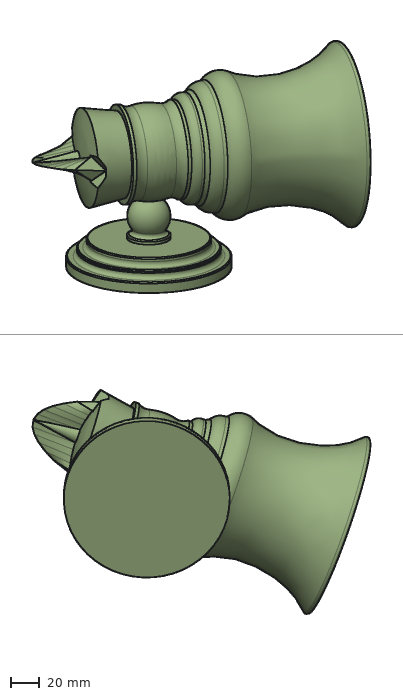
import cadquery as cq
import math


axis_height = 83.5
rim_y = 141.7
tip_y = -83.5
rim_radius = 64.9
rim_rounding = 1.5
rim_taper = 0.7
rim_edge_y = rim_y - 2 * rim_rounding

foot_radius = 57.5
foot_edge_break = 1.0
foot_rim_height = 7.9
middle_step_radius = 50.0
middle_step_height = 14.2
top_step_radius = 43.2
foot_height = 21.0
cove_sag = 1.0
collar_radius = 15.3
collar_top = 23.0
ball_radius = 15.0
ball_height = 37.0
neck_radius = 12.0
neck_height = ball_height - math.sqrt(ball_radius**2 - neck_radius**2)

grip_radius = 34.5
waist_radius = 33.1
waist_y = 10.4
hollow_radius = 33.3
hollow_y = 15.3
bead_radius = 35.0
bead_inner_y = 18.5
bead_outer_y = 21.0

nose_root_radius = 30.6
nose_radius = 35.0
nose_y = -46.0
dome_y = -51.1
dome_middle_y = nose_y + 0.75 * (dome_y - nose_y)

tongue_half_width = 23.2
tongue_root_y = -48.0
tongue_half_height = 9.0
tongue_curvature = 0.04439
tongue_inner_x = 0.5
tongue_section_count = 6
spike_radius = 5.9

notch_apex_x = 30.5
notch_apex_y = -39.2
notch_mouth_x = 33.8
notch_mouth_half_height = 11.7


def revolved_foot():
    """Moulded foot, collar and ball, turned about Z."""
    cove_bottom_radius = 52.5
    upper_cove_radius = 46.0
    middle_cove_top = 12.2
    upper_cove_top = 18.5
    collar_lip_radius = 14.0
    collar_lip_height = 23.9

    def cove_middle(start, end):
        """Point of a concave arc, set in from the chord towards the axis and foot."""
        return ((start[0] + end[0]) / 2 - cove_sag, (start[1] + end[1]) / 2 - cove_sag)

    lower_start = (cove_bottom_radius, foot_rim_height)
    lower_end = (middle_step_radius, middle_cove_top)
    upper_start = (upper_cove_radius, middle_step_height)
    upper_end = (top_step_radius, upper_cove_top)
    lip = (collar_lip_radius, collar_lip_height)
    neck = (neck_radius, neck_height)
    profile = (
        cq.Workplane("XZ")
        .moveTo(0, 0)
        .lineTo(foot_radius, 0)
        .lineTo(foot_radius, foot_rim_height - foot_edge_break)
        .lineTo(foot_radius - foot_edge_break, foot_rim_height)
        .lineTo(*lower_start)
        .threePointArc(cove_middle(lower_start, lower_end), lower_end)
        .lineTo(middle_step_radius, middle_step_height - foot_edge_break)
        .lineTo(middle_step_radius - foot_edge_break, middle_step_height)
        .lineTo(*upper_start)
        .threePointArc(cove_middle(upper_start, upper_end), upper_end)
        .lineTo(top_step_radius, foot_height - foot_edge_break)
        .lineTo(top_step_radius - foot_edge_break, foot_height)
        .lineTo(collar_radius, foot_height)
        .lineTo(collar_radius, collar_top)
        .lineTo(*lip)
        .threePointArc(cove_middle(lip, neck), neck)
        .threePointArc((ball_radius, ball_height), (0, ball_height + ball_radius))
        .close()
    )
    return profile.revolve(360, (0, 0, 0), (0, 1, 0))


def revolved_horn():
    """Bell, stepped mouldings, grip and domed nose, turned about Y at Z = 0."""
    profile = (
        cq.Workplane("XY")
        .moveTo(0, rim_y)
        .lineTo(rim_radius - rim_rounding, rim_y)
        .threePointArc((rim_radius, rim_y - rim_rounding), (rim_radius - rim_taper, rim_edge_y))
        .spline([(56.3, 128.8), (47.3, 106.3), (45.3, 82.5), (51.4, 59.2)], includeCurrent=True)
        .threePointArc((51.8, 51.4), (46.5, 43.7))
        .lineTo(46.0, 41.0)
        .threePointArc((44.4, 36.3), (40.5, 32.7))
        .lineTo(39.2, 29.3)
        .lineTo(39.2, 27.3)
        .threePointArc((38.0, 23.5), (bead_radius, bead_outer_y))
        .lineTo(bead_radius, bead_inner_y)
        .threePointArc((hollow_radius, hollow_y), (waist_radius, waist_y))
        .threePointArc((grip_radius, 0), (waist_radius, -waist_y))
        .threePointArc((hollow_radius, -hollow_y), (bead_radius, -bead_inner_y))
        .lineTo(bead_radius, -bead_outer_y)
        .lineTo(nose_root_radius, -bead_outer_y)
        .lineTo(nose_radius, nose_y)
        .threePointArc((nose_radius / 2, dome_middle_y), (0, dome_y))
        .close()
    )
    return profile.revolve(360, (0, 0, 0), (0, 1, 0))


def pyramid(apex, base):
    """Solid from an apex and a flat polygon base."""
    faces = [cq.Face.makeFromWires(cq.Wire.makePolygon(base, close=True))]
    for start, end in zip(base, base[1:] + base[:1]):
        faces.append(cq.Face.makeFromWires(cq.Wire.makePolygon([apex, start, end], close=True)))
    return cq.Workplane(obj=cq.Solid.makeSolid(cq.Shell.makeShell(faces)))


notch_apex = cq.Vector(notch_apex_x, notch_apex_y, 0)


def notch():
    """Side notch on +X: a pyramid opening outwards from its apex."""
    inner = cq.Vector(tongue_half_width, tongue_root_y, tongue_half_height)
    mouth = cq.Vector(notch_mouth_x, nose_y, notch_mouth_half_height)
    outer = mouth + (mouth - inner)
    inner_far = inner * 2 - notch_apex
    outer_far = outer * 2 - notch_apex
    base = [
        inner_far,
        outer_far,
        cq.Vector(outer_far.x, outer_far.y, -outer_far.z),
        cq.Vector(inner_far.x, inner_far.y, -inner_far.z),
    ]
    return pyramid(notch_apex, base)


def tongue_section(x):
    """Triangle across the blade at x, pointing at the parabolic edge."""
    half_height = tongue_half_height * x / tongue_half_width
    return [
        cq.Vector(x, tongue_root_y, half_height),
        cq.Vector(x, tip_y + tongue_curvature * x**2, 0),
        cq.Vector(x, tongue_root_y, -half_height),
    ]


def tongue_half():
    """Half of the blade on +X, closed at its side by a pyramid into the notch."""
    step = (tongue_half_width - tongue_inner_x) / (tongue_section_count - 1)
    wires = []
    for index in range(tongue_section_count):
        section = tongue_section(tongue_inner_x + index * step)
        wires.append(cq.Wire.makePolygon(section, close=True))
    blade = cq.Workplane(obj=cq.Solid.makeLoft(wires, True))
    return blade.union(pyramid(notch_apex, tongue_section(tongue_half_width)))


def spike():
    """Central cone of the tongue, rooted inside the dome."""
    length = tongue_root_y - tip_y
    return cq.Workplane(
        obj=cq.Solid.makeCone(
            spike_radius, 0, length, cq.Vector(0, tongue_root_y, 0), cq.Vector(0, -1, 0)
        )
    )


horn = revolved_horn()
side_notch = notch()
side_blade = tongue_half()
horn = horn.cut(side_notch).cut(side_notch.mirror("YZ"))
horn = horn.union(spike()).union(side_blade).union(side_blade.mirror("YZ"))

result = revolved_foot().union(horn.translate((0, 0, axis_height)))